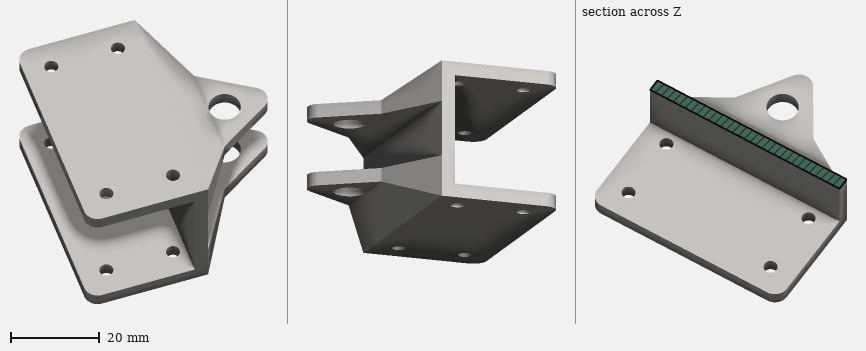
import cadquery as cq
import math

width = 50.8
height = 31.75
total_length = 51.3
flange_length = 28.5
thickness = 3.2
corner_radius = 3.2

mount_hole_diameter = 3.2
mount_hole_spacing_x = 38.1
mount_hole_spacing_y = 15.9
mount_hole_edge = 6.35

lug_gap = 12.75
taper_length = 9.1
lug_root_width = 21.15
lug_tip_radius = 3.2
lug_hole_diameter = 7.3
lug_hole_y = 12.75

lug_tip_y = total_length - flange_length
lug_inner_z = lug_gap / 2
lug_outer_z = lug_inner_z + thickness


def make_channel():
    """U channel opening toward -Y, with rounded flange corners."""
    block = (
        cq.Workplane("XY")
        .box(width, flange_length, height, centered=(True, False, True))
        .translate((0, -flange_length, 0))
        .edges("|Z and <Y")
        .fillet(corner_radius)
    )
    opening = (
        cq.Workplane("XY")
        .box(width, flange_length, height - 2 * thickness, centered=(True, False, True))
        .translate((0, -flange_length - thickness, 0))
    )
    return block.cut(opening)


def make_mount_holes():
    """Four drills that pass through both flanges."""
    pattern_y = -flange_length + mount_hole_edge + mount_hole_spacing_y / 2
    return (
        cq.Workplane("XY", origin=(0, pattern_y, -height / 2))
        .rarray(mount_hole_spacing_x, mount_hole_spacing_y, 2, 2)
        .circle(mount_hole_diameter / 2)
        .extrude(height)
    )


def make_upper_lug():
    """Wedge on the web that narrows into a flat lug with a round tip."""
    root_x = lug_root_width / 2
    tip_center_y = lug_tip_y - lug_tip_radius
    rise = tip_center_y - taper_length
    tangent_offset = math.asin(lug_tip_radius / math.hypot(root_x, rise))
    side_angle = math.atan2(rise, root_x) + tangent_offset
    tangent_x = lug_tip_radius * math.sin(side_angle)
    tangent_y = tip_center_y + lug_tip_radius * math.cos(side_angle)

    plan = (
        cq.Workplane("XY")
        .moveTo(-width / 2, 0)
        .lineTo(width / 2, 0)
        .lineTo(root_x, taper_length)
        .lineTo(tangent_x, tangent_y)
        .threePointArc((0, lug_tip_y), (-tangent_x, tangent_y))
        .lineTo(-root_x, taper_length)
        .close()
        .extrude(height / 2)
    )
    side_profile = (
        cq.Workplane("YZ")
        .moveTo(0, lug_inner_z)
        .lineTo(lug_tip_y, lug_inner_z)
        .lineTo(lug_tip_y, lug_outer_z)
        .lineTo(taper_length, lug_outer_z)
        .lineTo(0, height / 2)
        .close()
        .extrude(width / 2, both=True)
    )
    hole = (
        cq.Workplane("XY")
        .center(0, lug_hole_y)
        .circle(lug_hole_diameter / 2)
        .extrude(height / 2)
    )
    return plan.intersect(side_profile).cut(hole)


upper_lug = make_upper_lug()
lower_lug = upper_lug.mirror("XY")
result = make_channel().cut(make_mount_holes()).union(upper_lug).union(lower_lug)